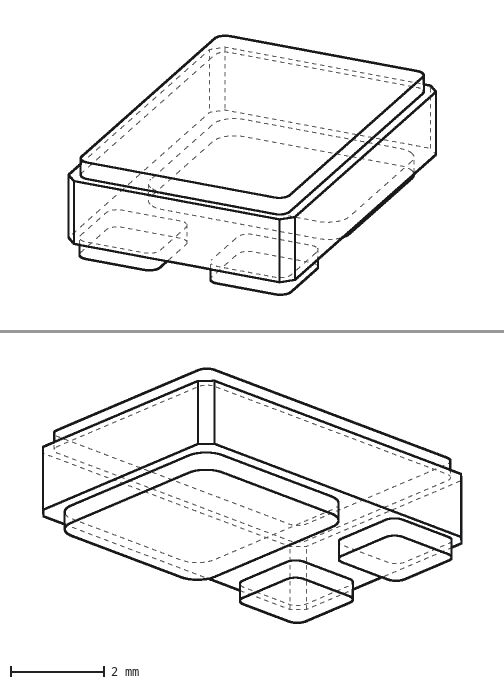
import cadquery as cq

body_width = 5.33
body_length = 7.75
total_height = 2.26

pad_thickness = 0.4
lid_thickness = 0.39
body_height = total_height - pad_thickness - lid_thickness
body_chamfer = 0.25

lid_width = 4.9
lid_length = 7.32
lid_radius = 0.25

small_pad_span = 4.96
pad_front_y = -3.67
small_pad_width = 1.875
small_pad_length = 1.845
small_pad_radius = 0.255
large_pad_back_y = 3.595
large_pad_width = 4.68
large_pad_length = 4.215
large_pad_radius = 0.5


def rounded_plate(width, length, thickness, radius, center, bottom_z):
    """Flat rectangular plate with rounded vertical edges."""
    return (
        cq.Workplane("XY", origin=(center[0], center[1], bottom_z))
        .rect(width, length)
        .extrude(thickness)
        .edges("|Z")
        .fillet(radius)
    )


result = (
    cq.Workplane("XY", origin=(0, 0, pad_thickness))
    .rect(body_width, body_length)
    .extrude(body_height)
    .edges("|Z")
    .chamfer(body_chamfer)
)

lid = rounded_plate(
    lid_width, lid_length, lid_thickness, lid_radius, (0, 0), pad_thickness + body_height
)
result = result.union(lid)

small_pad_x = (small_pad_span - small_pad_width) / 2
small_pad_y = pad_front_y + small_pad_length / 2
for side in (-1, 1):
    small_pad = rounded_plate(
        small_pad_width, small_pad_length, pad_thickness, small_pad_radius,
        (side * small_pad_x, small_pad_y), 0,
    )
    result = result.union(small_pad)

large_pad_y = large_pad_back_y - large_pad_length / 2
large_pad = rounded_plate(
    large_pad_width, large_pad_length, pad_thickness, large_pad_radius, (0, large_pad_y), 0
)
result = result.union(large_pad)